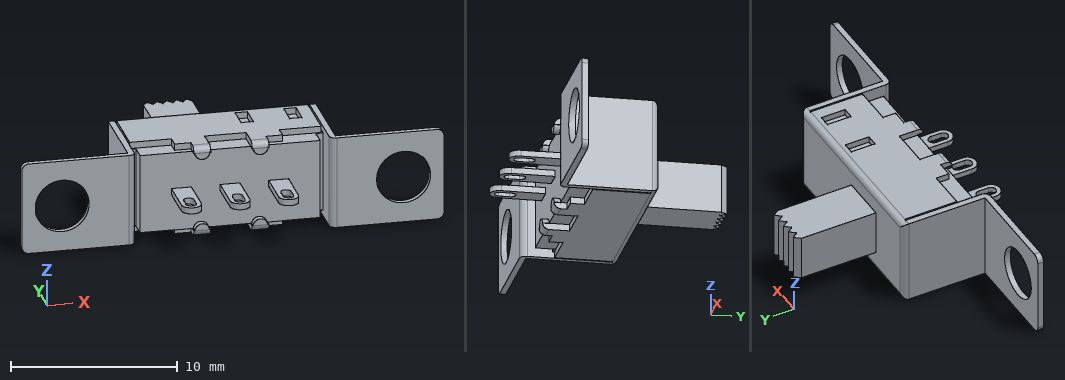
import cadquery as cq


overall_length = 26
shell_height = 5.8
inner_height = 5.0
sheet = (shell_height - inner_height) / 2
shell_length = 12.8
shell_top = 6.0
ear_corner_radius = 0.45
mounting_hole_diameter = 3.3
mounting_hole_pitch = 21.0
inner_length = shell_length - 2 * sheet

panel_edge = 2.05
panel_end_gap = 0.1
window_width = 0.75
window_length = 1.6
window_bottom = 3.7
first_window_x = 1.72

tongue_width = 1.05
fold_width = 0.94
fold_depth = 0.42
tongue_x = 1.8
tab_root_width = 2.05
tab_root_bottom = 1.2

insulator_length = 11.08
insulator_bottom = 0.8
shoulder = 1.95
tongue_bottom = insulator_bottom - sheet

pin_count = 3
pin_pitch = 3.0
pin_width = 1.22
pin_thickness = 0.4
pin_tip = -2.5
slot_width = 0.62
slot_length = 1.3

slider_x = -1.48
slider_width = 3.05
slider_height = 3.05
slider_tip = 11.5
tooth_count = 5
tooth_depth = 0.4


def block(x_min, x_max, y_min, y_max, z_min, z_max):
    size = (x_max - x_min, y_max - y_min, z_max - z_min)
    return cq.Workplane("XY").box(*size, centered=False).translate((x_min, y_min, z_min))


def centred_block(length, y_min, y_max, height, x=0):
    return block(x - length / 2, x + length / 2, y_min, y_max, -height / 2, height / 2)


def make_ears():
    ears = centred_block(overall_length, 0, sheet, shell_height)
    ears = ears.edges("|Y").fillet(ear_corner_radius)
    ears = ears.cut(centred_block(inner_length, 0, sheet, shell_height))
    hole_centres = [(side * mounting_hole_pitch / 2, 0) for side in (-1, 1)]
    holes = (
        cq.Workplane("XZ")
        .pushPoints(hole_centres)
        .circle(mounting_hole_diameter / 2)
        .extrude(-sheet)
    )
    return ears.cut(holes)


def make_case():
    """Shell walls and the insulator inside them, as one solid with the ears."""
    case = centred_block(shell_length, 0, shell_top, shell_height)
    case = case.faces(">Y").edges().fillet(sheet)

    case = case.cut(centred_block(inner_length, 0, shoulder, shell_height))
    for side in (-1, 1):
        panel_middle = side * (shell_height - sheet) / 2
        below_panel = centred_block(inner_length, 0, panel_edge, sheet)
        case = case.cut(below_panel.translate((0, 0, panel_middle)))
        for end in (-1, 1):
            gap_x = end * (inner_length - panel_end_gap) / 2
            gap = centred_block(panel_end_gap, 0, shell_top - sheet, sheet, gap_x)
            case = case.cut(gap.translate((0, 0, panel_middle)))

    insulator = centred_block(insulator_length, insulator_bottom, panel_edge, inner_height)
    case = case.union(insulator).union(make_ears())

    bend_zone = cq.selectors.BoxSelector(
        (-shell_length / 2, -sheet / 2, -shell_height / 2),
        (shell_length / 2, sheet / 2, shell_height / 2),
    )
    return case.edges("|Z").edges(bend_zone).fillet(sheet)


def make_tab():
    """Crimp tab of the +X, +Z corner, with the root on the outer side of the tongue."""
    z_outer = shell_height / 2
    z_inner = inner_height / 2
    tongue_start = tongue_x - tongue_width / 2
    root_end = tongue_start + tab_root_width
    root = block(tongue_start, root_end, tab_root_bottom, panel_edge, z_inner, z_outer)
    tongue = (
        cq.Workplane("YZ", origin=(tongue_start, 0, 0))
        .moveTo(panel_edge, z_inner)
        .lineTo(panel_edge, z_outer)
        .lineTo(insulator_bottom, z_outer)
        .radiusArc((tongue_bottom, z_inner), -sheet)
        .close()
        .extrude(tongue_width)
    )
    folded_end = (
        cq.Workplane("XZ", origin=(0, tongue_bottom, 0))
        .moveTo(tongue_x - fold_width / 2, z_inner)
        .threePointArc((tongue_x, z_inner - fold_depth), (tongue_x + fold_width / 2, z_inner))
        .close()
        .extrude(-sheet)
    )
    return root.union(tongue).union(folded_end)


def make_pin(x):
    end_centre = pin_tip + pin_width / 2
    slot_bottom = end_centre - slot_width / 2
    underside = cq.Workplane("XY", origin=(x, 0, -pin_thickness / 2))
    blade = centred_block(pin_width, end_centre, insulator_bottom, pin_thickness, x)
    rounded_end = underside.center(0, end_centre).circle(pin_width / 2).extrude(pin_thickness)
    slot = (
        underside.center(0, slot_bottom + slot_length / 2)
        .slot2D(slot_length, slot_width, 90)
        .extrude(pin_thickness)
    )
    return blade.union(rounded_end).cut(slot)


def make_slider():
    left = slider_x - slider_width / 2
    tooth_width = slider_width / tooth_count
    root_y = slider_tip - tooth_depth
    points = [(left + slider_width, shell_top), (left, shell_top), (left, root_y)]
    for tooth in range(tooth_count):
        tooth_left = left + tooth * tooth_width
        points.append((tooth_left + tooth_width / 2, slider_tip))
        points.append((tooth_left + tooth_width, root_y))
    underside = cq.Workplane("XY", origin=(0, 0, -slider_height / 2))
    return underside.polyline(points).close().extrude(slider_height)


def make_window(x):
    """Shallow pocket through the thickness of the +Z panel."""
    window = centred_block(window_width, window_bottom, window_bottom + window_length, sheet, x)
    return window.translate((0, 0, (shell_height - sheet) / 2))


result = make_case().union(make_slider())

tab = make_tab()
tab_pair = tab.union(tab.mirror("YZ"))
result = result.union(tab_pair).union(tab_pair.mirror("XY"))

for index in range(pin_count):
    pin_x = (index - (pin_count - 1) / 2) * pin_pitch
    result = result.union(make_pin(pin_x))

for window_x in (first_window_x, first_window_x + pin_pitch):
    result = result.cut(make_window(window_x))